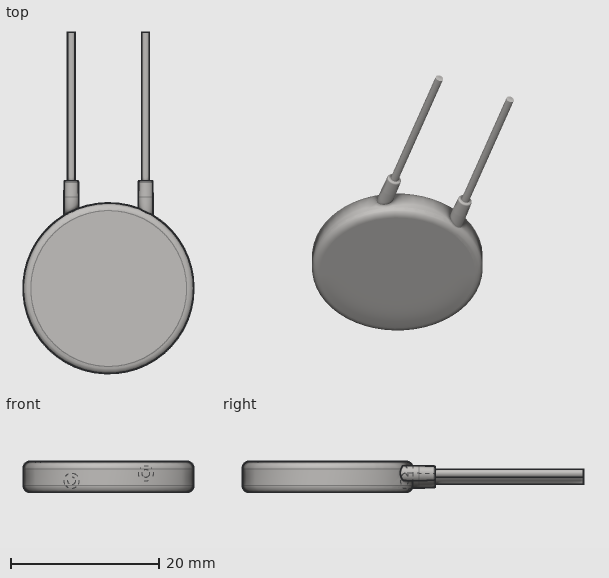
import cadquery as cq

disc_diameter = 23.0
disc_thickness = 4.2
disc_edge_radius = 1.0

lead_spacing = 10.0
lead_height_offset = 0.5
wire_diameter = 1.05
wire_length = 20.0
root_depth = 4.0

sleeve_diameter = 2.04
neck_end_diameter = 1.92
neck_length = 2.2
neck_rim_radius = 0.2
sleeve_reach = 3.0

disc_radius = disc_diameter / 2
sleeve_end_y = disc_radius + sleeve_reach
neck_start_y = sleeve_end_y - neck_length
wire_end_y = sleeve_end_y + wire_length
lead_root_y = disc_radius - root_depth


def make_disc():
    blank = cq.Workplane("XY").circle(disc_radius).extrude(disc_thickness / 2, both=True)
    return blank.edges().fillet(disc_edge_radius)


def make_sleeve():
    """Cylinder and tapered neck turned about the Y axis."""
    profile = (
        cq.Workplane("YZ")
        .moveTo(lead_root_y, 0)
        .lineTo(lead_root_y, sleeve_diameter / 2)
        .lineTo(neck_start_y, sleeve_diameter / 2)
        .lineTo(sleeve_end_y, neck_end_diameter / 2)
        .lineTo(sleeve_end_y, 0)
        .close()
    )
    sleeve = profile.revolve(360, (0, 0, 0), (1, 0, 0))
    return sleeve.faces(">Y").edges().fillet(neck_rim_radius)


def make_wire():
    """Straight round wire along the Y axis, from the lead root to its free end."""
    profile = (
        cq.Workplane("YZ")
        .moveTo(lead_root_y, 0)
        .lineTo(lead_root_y, wire_diameter / 2)
        .lineTo(wire_end_y, wire_diameter / 2)
        .lineTo(wire_end_y, 0)
        .close()
    )
    return profile.revolve(360, (0, 0, 0), (1, 0, 0))


def make_lead(x, z):
    return make_sleeve().union(make_wire()).translate((x, 0, z))


lower_lead = make_lead(-lead_spacing / 2, -lead_height_offset)
upper_lead = make_lead(lead_spacing / 2, lead_height_offset)

result = make_disc().union(lower_lead).union(upper_lead)